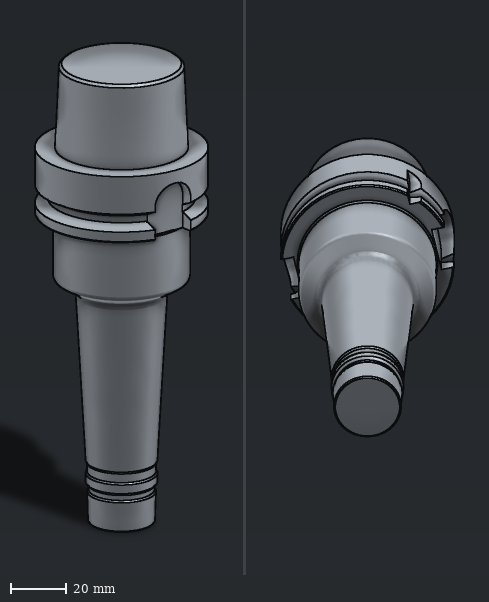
import cadquery as cq
import math

total_height = 177.0

taper_top_radius = 22.8
taper_base_radius = 24.2
taper_chamfer = 1.0

flange_radius = 31.5
flange_top = 144.8
flange_bottom = 119.1
flange_chamfer = 0.5
groove_radius = 26.9
groove_upper_edge = 130.3
groove_floor_top = 128.0
groove_floor_bottom = 125.3
groove_lower_edge = 123.4

body_radius = 25.0
collar_radius = 25.5
collar_height = 1.0
shoulder_top = 94.5
shoulder_slope = math.radians(30)
shoulder_edge_fillet = 2.1
shoulder_root_fillet = 3.9

neck_top_radius = 16.8
neck_bottom_radius = 13.1
neck_bottom = 23.7
upper_recess_radius = 12.5
upper_recess_top = 22.8
upper_recess_bottom = 19.5
ring_top = 18.8
ring_bottom = 15.4
lower_recess_radius = 12.0
lower_recess_top = 14.3
lower_recess_bottom = 12.4
nose_top_radius = 12.5
nose_top = 11.7
nose_bottom_radius = 12.2
nose_chamfer = 0.5

drive_slot_width = 16.5
drive_slot_arc_z = 131.7
drive_slot_floor = 25.7

notch_width = 10.0
notch_arc_z = 133.8
notch_center_y = 25.0
notch_floor = 20.2

shoulder_bottom = shoulder_top - (body_radius - neck_top_radius) * math.tan(shoulder_slope)


def revolved_body():
    """Revolve the (radius, height) outline about Z and round the shoulder."""
    outline = [
        (0, 0),
        (nose_bottom_radius - nose_chamfer, 0),
        (nose_bottom_radius, nose_chamfer),
        (nose_top_radius, nose_top),
        (lower_recess_radius, lower_recess_bottom),
        (lower_recess_radius, lower_recess_top),
        (neck_bottom_radius, ring_bottom),
        (neck_bottom_radius, ring_top),
        (upper_recess_radius, upper_recess_bottom),
        (upper_recess_radius, upper_recess_top),
        (neck_bottom_radius, neck_bottom),
        (neck_top_radius, shoulder_bottom),
        (body_radius, shoulder_top),
        (body_radius, flange_bottom - collar_height),
        (collar_radius, flange_bottom),
        (flange_radius - flange_chamfer, flange_bottom),
        (flange_radius, flange_bottom + flange_chamfer),
        (flange_radius, groove_lower_edge),
        (groove_radius, groove_floor_bottom),
        (groove_radius, groove_floor_top),
        (flange_radius, groove_upper_edge),
        (flange_radius, flange_top),
        (taper_base_radius, flange_top),
        (taper_top_radius, total_height - taper_chamfer),
        (taper_top_radius - taper_chamfer, total_height),
        (0, total_height),
    ]
    body = cq.Workplane("XZ").polyline(outline).close().revolve(360, (0, 0), (0, 1))
    body = fillet_circle(body, body_radius, shoulder_top, shoulder_edge_fillet)
    return fillet_circle(body, neck_top_radius, shoulder_bottom, shoulder_root_fillet)


def fillet_circle(body, radius, height, fillet_radius):
    """Fillet the circular edge that starts at the given radius and height."""
    edge = body.newObject([
        e for e in body.edges("%CIRCLE").vals()
        if abs(e.Center().z - height) < 0.02 and abs(e.radius() - radius) < 0.01
    ])
    return edge.fillet(fillet_radius)


def round_top_cutter(width, arc_z, center_y, floor):
    """Slot tool on the -X side: round at the top, open below the flange and outward."""
    half_width = width / 2
    return (
        cq.Workplane("YZ", origin=(-floor, 0, 0))
        .moveTo(center_y - half_width, flange_bottom)
        .lineTo(center_y - half_width, arc_z)
        .threePointArc((center_y, arc_z + half_width), (center_y + half_width, arc_z))
        .lineTo(center_y + half_width, flange_bottom)
        .close()
        .extrude(-flange_radius)
    )


drive_slot = round_top_cutter(drive_slot_width, drive_slot_arc_z, 0, drive_slot_floor)
orientation_notch = round_top_cutter(notch_width, notch_arc_z, notch_center_y, notch_floor)

result = (
    revolved_body()
    .cut(drive_slot)
    .cut(drive_slot.mirror("YZ"))
    .cut(orientation_notch)
)